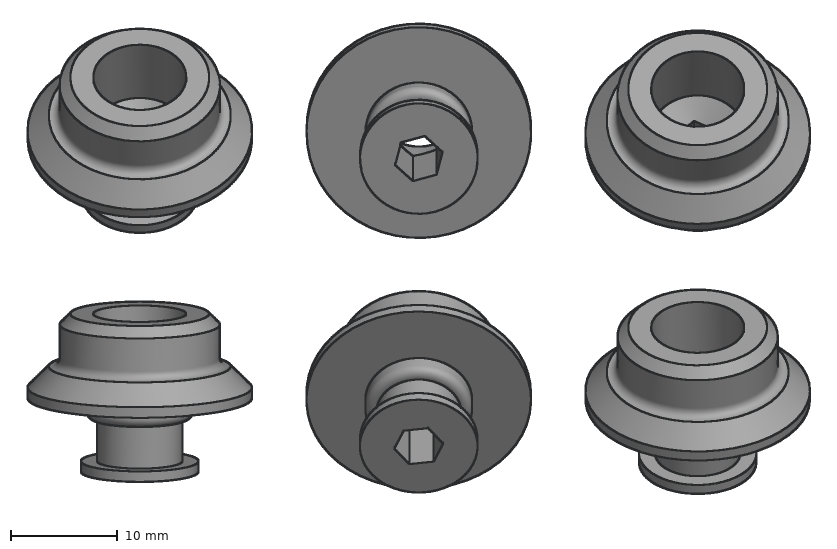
import cadquery as cq
import math

rim_diameter = 21.0
hub_diameter = 15.0
shoulder_diameter = 17.0
boss_diameter = 10.0
stem_diameter = 8.0
foot_diameter = 11.0

foot_top = 1.0
stem_top = 5.0
rim_bottom = 7.0
rim_top = 8.0
total_height = 15.0
shoulder_height = rim_top + (rim_diameter - shoulder_diameter) / 2

hub_chamfer = 1.0
neck_fillet = 0.8
boss_fillet = 0.8

bore_diameter = 8.7
bore_depth = 7.0
drill_point_angle = 118.0
hex_across_flats = 4.0


def make_body():
    """Revolve the outer half profile, listed from the foot up, about Z."""
    rim_radius = rim_diameter / 2
    hub_radius = hub_diameter / 2
    shoulder_radius = shoulder_diameter / 2
    boss_radius = boss_diameter / 2
    stem_radius = stem_diameter / 2
    foot_radius = foot_diameter / 2
    return (
        cq.Workplane("XZ")
        .lineTo(foot_radius, 0)
        .lineTo(foot_radius, foot_top)
        .lineTo(stem_radius, foot_top)
        .lineTo(stem_radius, stem_top)
        .lineTo(boss_radius - boss_fillet, stem_top)
        .radiusArc((boss_radius, stem_top + boss_fillet), -boss_fillet)
        .lineTo(boss_radius, rim_bottom)
        .lineTo(rim_radius, rim_bottom)
        .lineTo(rim_radius, rim_top)
        .lineTo(shoulder_radius, shoulder_height)
        .lineTo(hub_radius + neck_fillet, shoulder_height)
        .radiusArc((hub_radius, shoulder_height + neck_fillet), neck_fillet)
        .lineTo(hub_radius, total_height - hub_chamfer)
        .lineTo(hub_radius - hub_chamfer, total_height)
        .lineTo(0, total_height)
        .close()
        .revolve(360, (0, 0, 0), (0, 1, 0))
    )


def make_bore():
    """Cylindrical bore open at the top, ending in a cone."""
    bore_radius = bore_diameter / 2
    bore_bottom = total_height - bore_depth
    point_depth = bore_radius / math.tan(math.radians(drill_point_angle / 2))
    return (
        cq.Workplane("XZ")
        .moveTo(0, bore_bottom - point_depth)
        .lineTo(bore_radius, bore_bottom)
        .lineTo(bore_radius, total_height)
        .lineTo(0, total_height)
        .close()
        .revolve(360, (0, 0, 0), (0, 1, 0))
    )


def make_hex_socket():
    """Hexagonal prism with two corners on the Y axis."""
    across_corners = hex_across_flats / math.cos(math.radians(30))
    return (
        cq.Workplane("XY")
        .transformed(rotate=(0, 0, 90))
        .polygon(6, across_corners)
        .extrude(total_height)
    )


result = make_body().cut(make_bore()).cut(make_hex_socket())